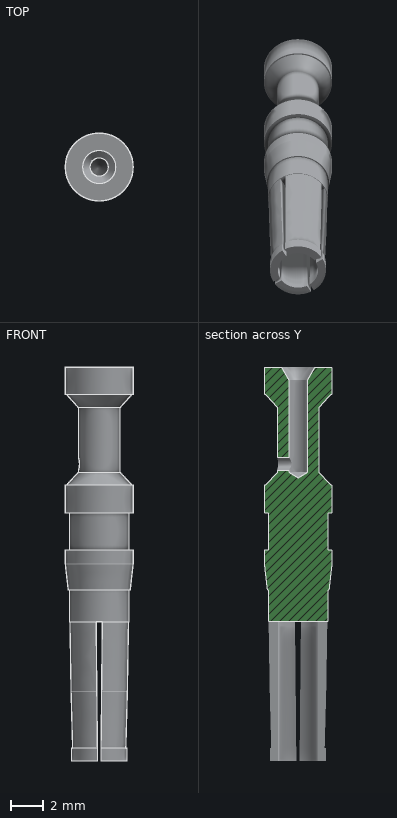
import cadquery as cq
import math

total_height = 24.25
head_bottom = 22.55
neck_top = 21.75
neck_bottom = 17.78
shoulder_top = 17.0
shoulder_bottom = 15.25
ring_top = 13.0
ring_bottom = 12.12
flare_bottom = 10.52
tine_root = 8.55
tine_bend = 4.3
tip_collar_top = 0.8

flange_diameter = 4.2
flange_radius = flange_diameter / 2
neck_radius = 1.29
cone_radius = 2.01
body_radius = 1.85
flare_end_radius = 1.92
tine_root_radius = 1.82
tine_bend_radius = 1.75
tine_end_radius = 1.65
tip_collar_radius = 1.72

bore_mouth_radius = 1.02
wire_bore_radius = 0.55
mouth_half_angle = math.radians(30)
mouth_depth = (bore_mouth_radius - wire_bore_radius) / math.tan(mouth_half_angle)
drill_tip_half_angle = math.radians(59)
drill_tip_length = wire_bore_radius / math.tan(drill_tip_half_angle)
wire_bore_bottom = neck_bottom
inspection_height = 18.28
inspection_radius = 0.4

pin_socket_radius = 1.24
slot_root_width = 0.36
slot_tip_width = 0.2


def turned(points):
    """Revolve a (radius, height) outline around the Z axis."""
    return cq.Workplane("XZ").polyline(points).close().revolve(360, (0, 0), (0, 1))


def contact_body():
    return turned([
        (0, 0),
        (tip_collar_radius, 0),
        (tip_collar_radius, tip_collar_top),
        (tine_end_radius, tip_collar_top),
        (tine_bend_radius, tine_bend),
        (tine_root_radius, tine_root),
        (body_radius, tine_root),
        (body_radius, flare_bottom),
        (flare_end_radius, flare_bottom),
        (flange_radius, ring_bottom),
        (flange_radius, ring_top),
        (body_radius, ring_top),
        (body_radius, shoulder_bottom),
        (flange_radius, shoulder_bottom),
        (flange_radius, shoulder_top),
        (cone_radius, shoulder_top),
        (neck_radius, neck_bottom),
        (neck_radius, neck_top),
        (cone_radius, head_bottom),
        (flange_radius, head_bottom),
        (flange_radius, total_height),
        (0, total_height),
    ])


def wire_bore():
    return turned([
        (0, total_height),
        (bore_mouth_radius, total_height),
        (wire_bore_radius, total_height - mouth_depth),
        (wire_bore_radius, wire_bore_bottom),
        (0, wire_bore_bottom - drill_tip_length),
    ])


def inspection_hole():
    """Side hole from the -X face of the neck into the wire bore."""
    return (
        cq.Workplane("YZ")
        .center(0, inspection_height)
        .circle(inspection_radius)
        .extrude(-flange_radius)
    )


def tine_slot(plane):
    """Slot across the full diameter, narrowing towards the tine tips."""
    return (
        cq.Workplane(plane)
        .polyline([
            (-slot_tip_width / 2, 0),
            (slot_tip_width / 2, 0),
            (slot_root_width / 2, tine_root),
            (-slot_root_width / 2, tine_root),
        ])
        .close()
        .extrude(flange_radius, both=True)
    )


pin_socket = cq.Workplane("XY").circle(pin_socket_radius).extrude(tine_root)

result = contact_body().cut(wire_bore()).cut(inspection_hole()).cut(pin_socket)
for slot_plane in ("XZ", "YZ"):
    result = result.cut(tine_slot(slot_plane))